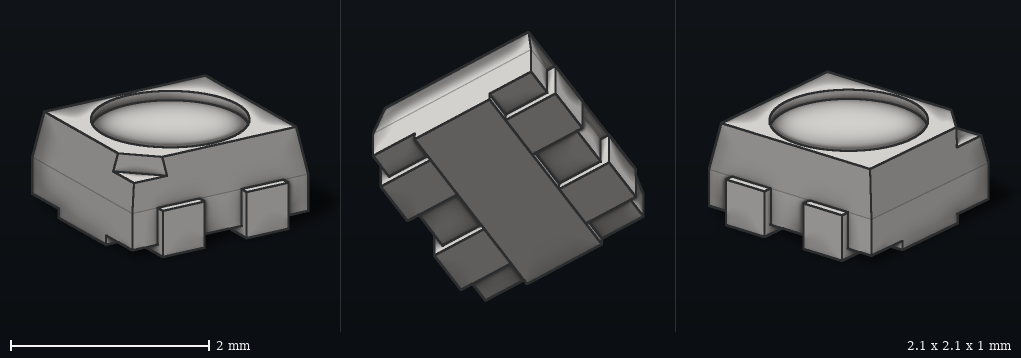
import cadquery as cq

overall_width = 2.1
body_length = 2.1
overall_height = 1.0

lead_thickness = 0.1
lead_width = 0.5
lead_pitch = 1.0
foot_length = 0.6
lead_height = overall_height / 2

body_width = overall_width - 2 * lead_thickness
base_height = lead_height
draft_angle = 10.0

recess_diameter = 1.6
recess_depth = 0.1

notch_leg = 0.5
notch_depth = 0.2


def make_blank():
    """Straight-sided base topped by a tapered block."""
    base = cq.Workplane("XY").box(body_width, body_length, base_height, centered=(True, True, False))
    upper = (
        cq.Workplane("XY", origin=(0, 0, base_height))
        .rect(body_width, body_length)
        .extrude(overall_height - base_height, taper=draft_angle)
    )
    return base.union(upper)


def make_foot_relief(side):
    """Step along one lower edge that leaves room for the lead feet."""
    relief_width = foot_length - lead_thickness
    center_x = side * (body_width - relief_width) / 2
    return (
        cq.Workplane("XY", origin=(center_x, 0, 0))
        .rect(relief_width, body_length)
        .extrude(lead_thickness)
    )


def make_recess():
    return (
        cq.Workplane("XY", origin=(0, 0, overall_height - recess_depth))
        .circle(recess_diameter / 2)
        .extrude(recess_depth)
    )


def make_notch():
    """Triangular prism whose legs lie on the outline of the base."""
    corner_x = body_width / 2
    corner_y = -body_length / 2
    return (
        cq.Workplane("XY", origin=(0, 0, overall_height - notch_depth))
        .moveTo(corner_x, corner_y)
        .lineTo(corner_x, corner_y + notch_leg)
        .lineTo(corner_x - notch_leg, corner_y)
        .close()
        .extrude(notch_depth)
    )


def make_housing():
    housing = make_blank().cut(make_recess()).cut(make_notch())
    for side in (-1, 1):
        housing = housing.cut(make_foot_relief(side))
    return housing.solids()


def make_lead(side, center_y):
    """L-shaped lead on the -X (side = -1) or +X (side = 1) face."""
    outer_x = side * overall_width / 2
    inner_x = side * body_width / 2
    toe_x = outer_x - side * foot_length
    profile = [
        (outer_x, 0),
        (outer_x, lead_height),
        (inner_x, lead_height),
        (inner_x, lead_thickness),
        (toe_x, lead_thickness),
        (toe_x, 0),
    ]
    return (
        cq.Workplane("XZ", origin=(0, center_y, 0))
        .polyline(profile)
        .close()
        .extrude(lead_width / 2, both=True)
    )


housing = make_housing()
leads = [
    make_lead(side, row * lead_pitch / 2)
    for side in (-1, 1)
    for row in (-1, 1)
]

result = cq.Compound.makeCompound([housing.val(), *[lead.val() for lead in leads]])